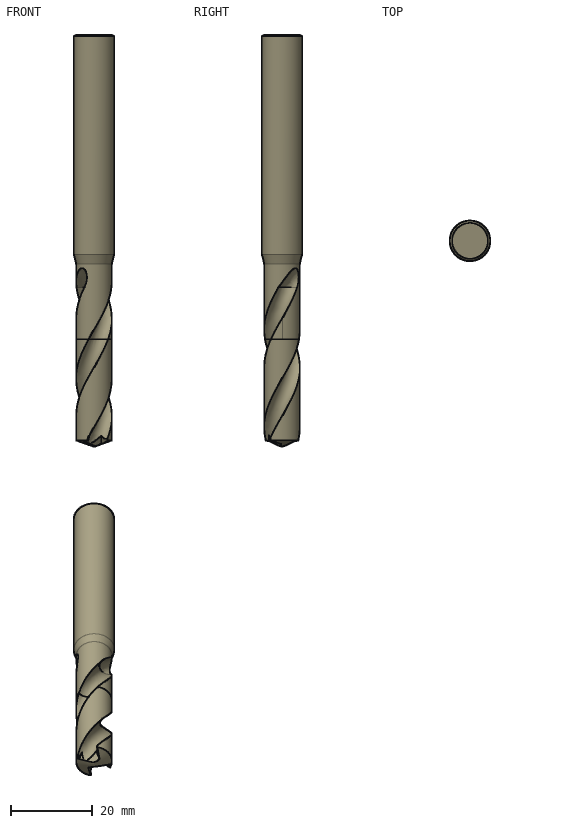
import cadquery as cq
import math

total_length = 101.0
shank_radius = 10.0 / 2
cutting_radius = 8.8 / 2
shank_bottom_z = 47.3
taper_bottom_z = 44.8
top_chamfer_height = 0.4
top_chamfer_width = 0.6
joint_z = 26.4
point_angle = 140.0
point_height = cutting_radius / math.tan(math.radians(point_angle / 2))

flute_count = 2
flute_spacing = 360.0 / flute_count
helix_angle = 30.0
helix_pitch = 2 * math.pi * cutting_radius / math.tan(math.radians(helix_angle))
flute_radius = 2.5
flute_center_radius = 4.0
flute_on_x_axis_z = 36.1
flute_bottom_z = -1.0
flute_straight_z = 39.1

runout_outward = 3.2
runout_sideways = 4.4
runout_rise = 7.0

gash_ridge_x = 1.8
gash_ridge_z = 5.7
gash_start_y = -3.2
gash_left_x = -3.6
gash_right_x = 4.6
gash_bottom_left_z = 0.4
gash_bottom_right_z = -0.5
gash_run = 3.0
gash_drop = 4.6


def flute_angle(z):
    """Angle of the flute centre about the Z axis at a given height."""
    return 360.0 * (z - flute_on_x_axis_z) / helix_pitch


def make_helical_flute():
    length = flute_straight_z - flute_bottom_z
    return (
        cq.Workplane("XY")
        .moveTo(flute_center_radius, 0)
        .circle(flute_radius)
        .twistExtrude(length, 360.0 * length / helix_pitch)
        .rotate((0, 0, 0), (0, 0, 1), flute_angle(flute_bottom_z))
        .translate((0, 0, flute_bottom_z))
    )


def make_flute_runout():
    section = cq.Wire.makeCircle(
        flute_radius,
        cq.Vector(flute_center_radius, 0, flute_straight_z),
        cq.Vector(0, 0, 1),
    )
    direction = cq.Vector(runout_outward, runout_sideways, runout_rise)
    runout = cq.Solid.extrudeLinear(section, [], direction)
    return cq.Workplane(runout).rotate((0, 0, 0), (0, 0, 1), flute_angle(flute_straight_z))


def make_gash():
    section = cq.Wire.makePolygon(
        [
            cq.Vector(gash_left_x, gash_start_y, gash_bottom_left_z),
            cq.Vector(gash_ridge_x, gash_start_y, gash_ridge_z),
            cq.Vector(gash_right_x, gash_start_y, gash_bottom_right_z),
        ],
        close=True,
    )
    return cq.Workplane(cq.Solid.extrudeLinear(section, [], cq.Vector(0, gash_run, -gash_drop)))


def cut_around_axis(body, cutter):
    """Cut one copy of the cutter for each flute."""
    for index in range(flute_count):
        body = body.cut(cutter.rotate((0, 0, 0), (0, 0, 1), index * flute_spacing))
    return body


def make_shank():
    blank = (
        cq.Workplane("XZ")
        .moveTo(0, joint_z)
        .lineTo(cutting_radius, joint_z)
        .lineTo(cutting_radius, taper_bottom_z)
        .lineTo(shank_radius, shank_bottom_z)
        .lineTo(shank_radius, total_length - top_chamfer_height)
        .lineTo(shank_radius - top_chamfer_width, total_length)
        .lineTo(0, total_length)
        .close()
        .revolve(360, (0, 0), (0, 1))
    )
    fluted = cut_around_axis(blank, make_helical_flute())
    return cut_around_axis(fluted, make_flute_runout())


def make_cutting_tip():
    blank = (
        cq.Workplane("XZ")
        .lineTo(cutting_radius, point_height)
        .lineTo(cutting_radius, joint_z)
        .lineTo(0, joint_z)
        .close()
        .revolve(360, (0, 0), (0, 1))
    )
    fluted = cut_around_axis(blank, make_helical_flute())
    return cut_around_axis(fluted, make_gash())


shank = make_shank()
cutting_tip = make_cutting_tip()
result = cq.Compound.makeCompound([shank.val(), cutting_tip.val()])